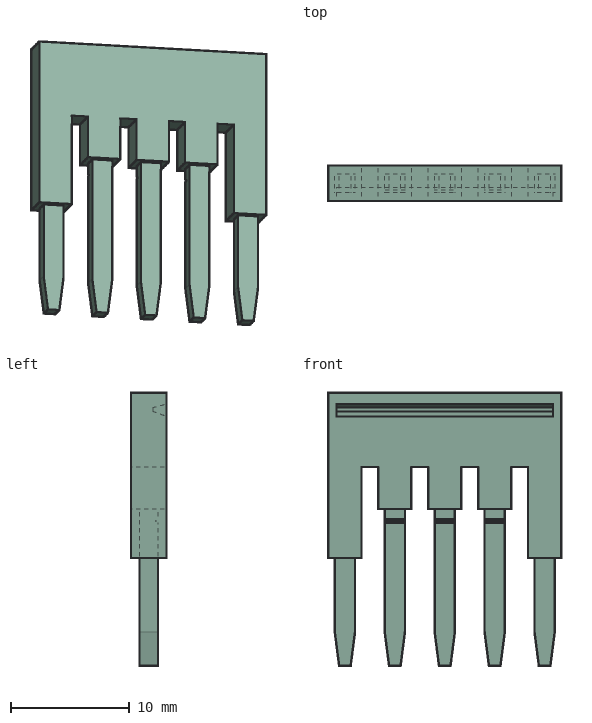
import cadquery as cq

total_height = 22.98
body_width = 19.6
body_thickness = 3.0
end_leg_depth = 13.93
inner_leg_depth = 9.8
comb_root_depth = 6.27

prong_count = 5
leg_width = 2.8
pitch = (body_width - leg_width) / (prong_count - 1)

prong_width = 1.72
prong_thickness = 1.59
tip_width = 0.99
tip_length = 2.85

notch_top_depth = 10.65
notch_back_depth = 10.8
notch_bottom_depth = 10.95
notch_cut = 0.23

slot_length = 18.2
slot_top_depth = 0.97
slot_back_top_depth = 1.26
slot_back_bottom_depth = 1.59
slot_bottom_depth = 2.0
slot_cut = 1.15

top_z = total_height / 2
bottom_z = -total_height / 2
front_y = -body_thickness / 2
prong_front_y = -prong_thickness / 2


def block(width, thickness, depth_from, depth_to, center_x):
    """Box centered in Y, spanning two depths below the top."""
    return (
        cq.Workplane("XY")
        .box(width, thickness, depth_to - depth_from, centered=(True, True, False))
        .translate((center_x, 0, top_z - depth_to))
    )


def prong(center_x, root_depth):
    """Flat prong that narrows in X towards its tip."""
    root_z = top_z - root_depth
    shoulder_z = bottom_z + tip_length
    outline = [
        (-prong_width / 2, root_z),
        (prong_width / 2, root_z),
        (prong_width / 2, shoulder_z),
        (tip_width / 2, bottom_z),
        (-tip_width / 2, bottom_z),
        (-prong_width / 2, shoulder_z),
    ]
    return (
        cq.Workplane("XZ")
        .polyline(outline)
        .close()
        .extrude(prong_thickness / 2, both=True)
        .translate((center_x, 0, 0))
    )


def groove(profile, length, center_x):
    """Prism along X from a profile of (Y, depth below the top) points."""
    points = [(y, top_z - depth) for y, depth in profile]
    return (
        cq.Workplane("YZ")
        .polyline(points)
        .close()
        .extrude(length / 2, both=True)
        .translate((center_x, 0, 0))
    )


slot_profile = [
    (front_y, slot_top_depth),
    (front_y + slot_cut, slot_back_top_depth),
    (front_y + slot_cut, slot_back_bottom_depth),
    (front_y, slot_bottom_depth),
]
notch_profile = [
    (prong_front_y, notch_top_depth),
    (prong_front_y + notch_cut, notch_back_depth),
    (prong_front_y, notch_bottom_depth),
]

result = block(body_width, body_thickness, 0, comb_root_depth, 0)

for index in range(prong_count):
    x = (index - (prong_count - 1) / 2) * pitch
    is_end = index in (0, prong_count - 1)
    leg_depth = end_leg_depth if is_end else inner_leg_depth
    result = result.union(block(leg_width, body_thickness, comb_root_depth, leg_depth, x))
    result = result.union(prong(x, leg_depth))
    if not is_end:
        result = result.cut(groove(notch_profile, prong_width, x))

result = result.cut(groove(slot_profile, slot_length, 0))